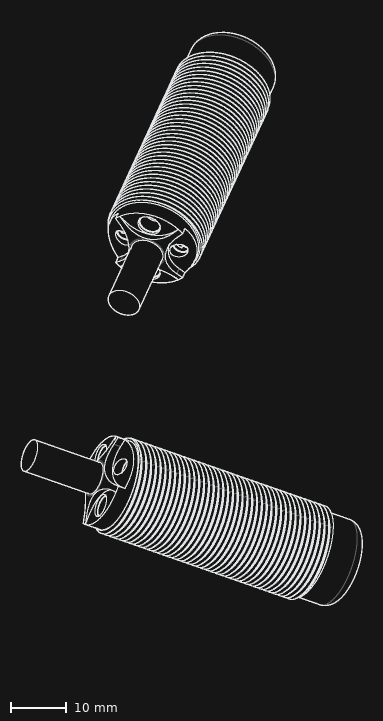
import cadquery as cq
import math

TOTAL_LENGTH = 65.2

CABLE_EXIT = 13.55
REAR_RIM = 14.8
THREAD_START = 17.7
THREAD_END = 57.9

CABLE_RADIUS = 3.0
NOSE_RADIUS = 3.3
BODY_RADIUS = 8.4
CAP_RADIUS = 8.15
CAP_ROUNDING = 1.9

THREAD_RADIUS = 9.0
THREAD_TURNS = 40.2
THREAD_PITCH = (THREAD_END - THREAD_START) / THREAD_TURNS
THREAD_BASE = 0.9 * THREAD_PITCH
CREST_WIDTH = 0.05
CREST_LEAD = 0.25
LEAD_IN_TURNS = 2
SPARE_TURNS = LEAD_IN_TURNS + 1

POCKET_NEAR_RADIUS = 3.45
POCKET_ARC_RADIUS = 6.4
FLAT_FLOOR = REAR_RIM
SIDE_FLOOR_INNER = 15.25
SIDE_FLOOR_OUTER = 16.8

SCREW_OFFSET = 5.7
SCREW_RIM_RADIUS = 2.1
SCREW_RIM_FLOOR = FLAT_FLOOR + 0.5
SCREW_BORE_RADIUS = 1.9
SCREW_BORE_FLOOR = FLAT_FLOOR + 3.25
SCREW_RECESS_RADIUS = 1.5
SCREW_RECESS_FLOOR = SCREW_BORE_FLOOR + 0.3

SIDE_OFFSET = 5.3
SIDE_RIM_RADIUS = 1.55
SIDE_RIM_FLOOR = 17.1
SIDE_BORE_RADIUS = 1.4
SIDE_BORE_FLOOR = 18.0

SLOT_WIDTH = 1.0
SLOT_OFFSET = 5.7
SLOT_DEPTH = 0.65

WASTE_RADIUS = THREAD_RADIUS + 0.65

DIAGONAL = math.sqrt(0.5)


def cylinder(radius, start, end, x=0.0):
    """Cylinder parallel to Y between two stations."""
    base = cq.Vector(x, start, 0)
    return cq.Workplane(cq.Solid.makeCylinder(radius, end - start, base, cq.Vector(0, 1, 0)))


def rear_end():
    """Cable, rear cone and plain rim up to the start of the thread, revolved about Y."""
    return (
        cq.Workplane("XY")
        .moveTo(0, 0)
        .lineTo(CABLE_RADIUS, 0)
        .lineTo(CABLE_RADIUS, CABLE_EXIT)
        .lineTo(NOSE_RADIUS, CABLE_EXIT)
        .lineTo(BODY_RADIUS, REAR_RIM)
        .lineTo(BODY_RADIUS, THREAD_START)
        .lineTo(0, THREAD_START)
        .close()
        .revolve(360, (0, 0, 0), (0, 1, 0))
    )


def cap():
    """Sensing cap with a rounded outer edge."""
    return cylinder(CAP_RADIUS, THREAD_END, TOTAL_LENGTH).faces(">Y").edges().fillet(CAP_ROUNDING)


def helix_turn(radius, height):
    """One turn of the thread helix about Z, starting over +X."""
    return cq.Wire.makeHelix(THREAD_PITCH, THREAD_PITCH, radius).translate(cq.Vector(0, 0, height)).Edges()[0]


def screw(turns):
    """Threaded rod about Z, stitched turn by turn and ending in helical faces."""
    pitch_profile = [
        (BODY_RADIUS, 0),
        (THREAD_RADIUS, (THREAD_BASE - CREST_WIDTH) / 2),
        (THREAD_RADIUS, (THREAD_BASE + CREST_WIDTH) / 2),
        (BODY_RADIUS, THREAD_BASE),
        (BODY_RADIUS, THREAD_PITCH),
    ]
    faces = []
    for turn in range(turns):
        rise = turn * THREAD_PITCH
        edges = [helix_turn(radius, rise + height) for radius, height in pitch_profile]
        faces += [cq.Face.makeRuledSurface(low, high) for low, high in zip(edges, edges[1:])]
    for rise in (0, turns * THREAD_PITCH):
        axis_edge = cq.Edge.makeLine(cq.Vector(0, 0, rise), cq.Vector(0, 0, rise + THREAD_PITCH))
        faces.append(cq.Face.makeRuledSurface(axis_edge, helix_turn(BODY_RADIUS, rise)))
        step = [(0, 0)] + pitch_profile + [(0, THREAD_PITCH)]
        corners = [cq.Vector(radius, 0, rise + height) for radius, height in step]
        faces.append(cq.Face.makeFromWires(cq.Wire.makePolygon(corners, close=True)))
    return cq.Workplane(cq.Solid.makeSolid(cq.Shell.makeShell(faces)))


def threaded_barrel():
    """Barrel with its thread, trimmed flat at both ends."""
    turns = math.ceil(THREAD_TURNS) + SPARE_TURNS
    first_turn = THREAD_START + CREST_LEAD - THREAD_BASE / 2 - LEAD_IN_TURNS * THREAD_PITCH
    rod = screw(turns).rotate((0, 0, 0), (1, 0, 0), -90).translate((0, first_turn, 0))
    return rod.intersect(cylinder(WASTE_RADIUS, THREAD_START, THREAD_END), clean=False)


def pocket_outline():
    """Arc with 45 degree tangents, opening outward; local x runs outward, local y sideways."""
    centre = POCKET_NEAR_RADIUS + POCKET_ARC_RADIUS
    tangent_x = centre - POCKET_ARC_RADIUS * DIAGONAL
    tangent_y = POCKET_ARC_RADIUS * DIAGONAL
    reach = WASTE_RADIUS - tangent_x
    return (
        cq.Workplane("XZ")
        .moveTo(WASTE_RADIUS, -tangent_y - reach)
        .lineTo(tangent_x, -tangent_y)
        .threePointArc((POCKET_NEAR_RADIUS, 0), (tangent_x, tangent_y))
        .lineTo(WASTE_RADIUS, tangent_y + reach)
        .close()
    )


def flat_pocket():
    """Pocket cutter with a flat floor square to the axis, on the +X side."""
    return pocket_outline().extrude(-FLAT_FLOOR)


def sloped_pocket():
    """Pocket cutter whose floor slopes deeper toward the rim, on the +X side."""
    slope = (SIDE_FLOOR_OUTER - SIDE_FLOOR_INNER) / (BODY_RADIUS - POCKET_NEAR_RADIUS)
    outer_floor = SIDE_FLOOR_INNER + slope * (WASTE_RADIUS - POCKET_NEAR_RADIUS)
    floor_side = (
        cq.Workplane("XY")
        .moveTo(POCKET_NEAR_RADIUS, 0)
        .lineTo(WASTE_RADIUS, 0)
        .lineTo(WASTE_RADIUS, outer_floor)
        .lineTo(POCKET_NEAR_RADIUS, SIDE_FLOOR_INNER)
        .close()
        .extrude(2 * WASTE_RADIUS, both=True)
    )
    return pocket_outline().extrude(-outer_floor).intersect(floor_side)


def slot(floor, bounds):
    """Slot cutter within a hole of the +X side; its bottom slopes deeper toward the axis."""
    inner = SLOT_OFFSET - SLOT_WIDTH / 2
    wedge = (
        cq.Workplane("XY")
        .moveTo(inner, floor - SLOT_DEPTH)
        .lineTo(inner + SLOT_WIDTH, floor - SLOT_DEPTH)
        .lineTo(inner + SLOT_WIDTH, floor)
        .lineTo(inner, floor + SLOT_DEPTH)
        .close()
        .extrude(BODY_RADIUS, both=True)
    )
    return wedge.intersect(bounds)


def screw_hole():
    """Stepped screw hole with a slotted floor, on the +X side."""
    rim = cylinder(SCREW_RIM_RADIUS, CABLE_EXIT, SCREW_RIM_FLOOR, SCREW_OFFSET)
    bore = cylinder(SCREW_BORE_RADIUS, CABLE_EXIT, SCREW_BORE_FLOOR, SCREW_OFFSET)
    recess = cylinder(SCREW_RECESS_RADIUS, CABLE_EXIT, SCREW_RECESS_FLOOR, SCREW_OFFSET)
    slot_bounds = cylinder(SCREW_RECESS_RADIUS, CABLE_EXIT, SCREW_RECESS_FLOOR + SLOT_DEPTH, SCREW_OFFSET)
    return rim.union(bore).union(recess).union(slot(SCREW_RECESS_FLOOR, slot_bounds))


def side_hole():
    """Stepped hole with a slotted floor, on the +X side."""
    rim = cylinder(SIDE_RIM_RADIUS, CABLE_EXIT, SIDE_RIM_FLOOR, SIDE_OFFSET)
    bore = cylinder(SIDE_BORE_RADIUS, CABLE_EXIT, SIDE_BORE_FLOOR, SIDE_OFFSET)
    slot_bounds = cylinder(SIDE_BORE_RADIUS, CABLE_EXIT, SIDE_BORE_FLOOR + SLOT_DEPTH, SIDE_OFFSET)
    return rim.union(bore).union(slot(SIDE_BORE_FLOOR, slot_bounds))


def about_axis(shape, angle):
    """Shape turned about the sensor axis."""
    return shape.rotate((0, 0, 0), (0, 1, 0), angle)


def around_cable(side_shape, flat_shape):
    """One cutter with a side shape at +X and -X and a flat shape at +Z and -Z."""
    cutter = side_shape.union(about_axis(side_shape, 180))
    for angle in (90, 270):
        cutter = cutter.union(about_axis(flat_shape, angle))
    return cutter


cable_zone = cylinder(NOSE_RADIUS, 0, CABLE_EXIT)
pockets = around_cable(sloped_pocket(), flat_pocket()).cut(cable_zone)
holes = around_cable(side_hole(), screw_hole())

pocketed_rear = rear_end().cut(pockets)
blank = threaded_barrel().union(pocketed_rear, clean=False).union(cap(), clean=False)
result = blank.cut(holes, clean=False)